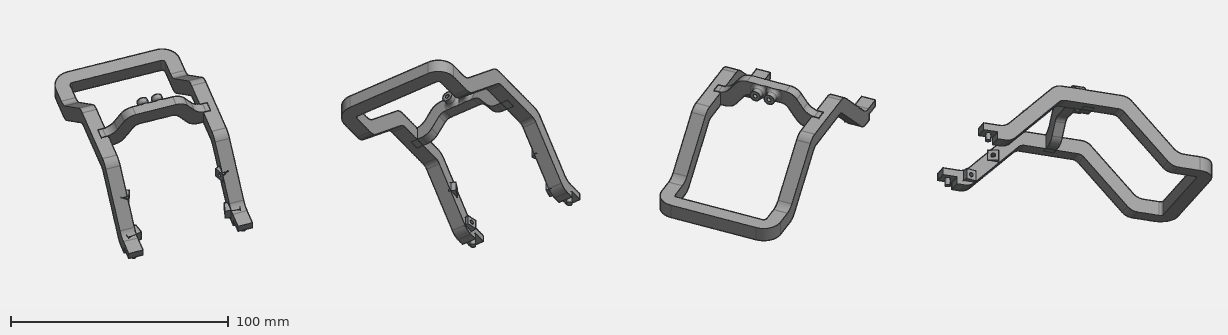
import cadquery as cq
import math

bar = 7.0
outer_round = 7.0
inner_round = 4.0

frame_length = 114.6
frame_width = 60.0
plan_outer_round = 8.5
plan_inner_round = plan_outer_round - bar
arch_center_x = 61.6
arch_height = 31.8
arch_half_top = 17.7
tip_length = 6.9
tip_thickness = bar / 2
arm_center_y = frame_width / 2 - bar / 2
arch_rise = arch_height - bar
arch_half_foot = arch_half_top + arch_rise
arch_miter = bar * math.tan(math.radians(45) / 2)

bridge_thickness = 5.0
bridge_top = 42.0
bridge_drop = 10.0
bridge_half_top = 13.3
bridge_half_foot = 20.7
bridge_front_x = arch_center_x - bridge_thickness / 2
bridge_angle = math.atan2(bridge_drop, bridge_half_foot - bridge_half_top)
bridge_miter = bar * math.tan(bridge_angle / 2)

nozzle_diameter = 5.0
nozzle_length = 4.7
nozzle_spacing = bar
nozzle_flare = 2.0
bore_diameter = 2.0
nozzle_z = bridge_top - bar / 2

pad_width = 5.0
pad_height = 5.0
pad_bore_diameter = 2.0
upper_pad = (90.5, 21.9, 19.4, 3.3, 24.0)
lower_pad = (101.6, 20.9, 7.2, 7.0, -13.0)

pin_diameter = 2.5
pin_x = 111.1
pin_length = bar - tip_thickness


def rounded_outline(plane, corners):
    """Closed wire through corners (u, v, radius), each corner rounded by a tangent arc."""
    path = cq.Workplane(plane)
    for index, (u, v, radius) in enumerate(corners):
        here = cq.Vector(u, v)
        to_last = (cq.Vector(*corners[index - 1][:2]) - here).normalized()
        to_next = (cq.Vector(*corners[(index + 1) % len(corners)][:2]) - here).normalized()
        half_angle = to_last.getAngle(to_next) / 2
        setback = radius / math.tan(half_angle)
        start = here + to_last * setback
        middle = here + (to_last + to_next).normalized() * (radius / math.sin(half_angle) - radius)
        end = here + to_next * setback
        path = path.moveTo(start.x, start.y) if index == 0 else path.lineTo(start.x, start.y)
        if radius > 0:
            path = path.threePointArc((middle.x, middle.y), (end.x, end.y))
    return path.close()


def make_frame_bar():
    top_low = arch_center_x - arch_half_foot
    top_high = arch_center_x - arch_half_top
    far_low = arch_center_x + arch_half_foot
    far_high = arch_center_x + arch_half_top
    step_x = frame_length - tip_length
    side = rounded_outline("XZ", [
        (0, 0, 0),
        (0, bar, 0),
        (top_low, bar, outer_round),
        (top_high, arch_height, outer_round),
        (far_high, arch_height, outer_round),
        (far_low, bar, outer_round),
        (frame_length, bar, 0),
        (frame_length, bar - tip_thickness, 0),
        (step_x, bar - tip_thickness, 0),
        (step_x, 0, 0),
        (far_low - arch_miter, 0, outer_round),
        (far_high - arch_miter, arch_rise, inner_round),
        (top_high + arch_miter, arch_rise, inner_round),
        (top_low + arch_miter, 0, outer_round),
    ]).extrude(frame_width / 2, both=True)

    outer_y = frame_width / 2
    inner_y = outer_y - bar
    plan = rounded_outline("XY", [
        (0, -outer_y, plan_outer_round),
        (0, outer_y, plan_outer_round),
        (frame_length, outer_y, 0),
        (frame_length, inner_y, 0),
        (bar, inner_y, plan_inner_round),
        (bar, -inner_y, plan_inner_round),
        (frame_length, -inner_y, 0),
        (frame_length, -outer_y, 0),
    ]).extrude(arch_height)
    return side.intersect(plan)


def make_bridge_bar():
    foot_top = bridge_top - bridge_drop
    half = [
        (-arm_center_y, foot_top - bar, 0),
        (-arm_center_y, foot_top, 0),
        (-bridge_half_foot, foot_top, outer_round),
        (-bridge_half_top, bridge_top, outer_round),
    ]
    half_under = [
        (bridge_half_top - bridge_miter, bridge_top - bar, inner_round),
        (bridge_half_foot - bridge_miter, foot_top - bar, outer_round),
    ]
    mirrored_top = [(-y, z, radius) for y, z, radius in reversed(half)]
    mirrored_under = [(-y, z, radius) for y, z, radius in half_under]
    outline = half + mirrored_top + half_under[::-1] + mirrored_under
    return rounded_outline("YZ", outline).extrude(bridge_thickness).translate((bridge_front_x, 0, 0))


def make_nozzle(y):
    """Round nozzle flaring into the bridge, with the flare trimmed flush with the bar above and below."""
    radius = nozzle_diameter / 2
    root_radius = radius + nozzle_flare
    arc_middle = nozzle_flare * (1 - math.sqrt(0.5))
    tip_x = bridge_front_x - nozzle_length
    turned = (
        cq.Workplane("XY")
        .moveTo(tip_x, 0)
        .lineTo(tip_x, radius)
        .lineTo(bridge_front_x - nozzle_flare, radius)
        .threePointArc(
            (bridge_front_x - arc_middle, radius + arc_middle),
            (bridge_front_x, root_radius),
        )
        .lineTo(bridge_front_x, 0)
        .close()
        .revolve(360, (0, 0, 0), (1, 0, 0))
    )
    trim = cq.Workplane("XY").box(frame_length * 2, frame_width, bar)
    return turned.intersect(trim).translate((0, y, nozzle_z))


def make_bridge():
    bridge = make_bridge_bar()
    nozzle_ys = (-nozzle_spacing / 2, nozzle_spacing / 2)
    for y in nozzle_ys:
        bridge = bridge.union(make_nozzle(y))
    bores = (
        cq.Workplane("YZ", origin=(bridge_front_x - nozzle_length, 0, nozzle_z))
        .pushPoints([(y, 0) for y in nozzle_ys])
        .circle(bore_diameter / 2)
        .extrude(nozzle_length)
    )
    return bridge.cut(bores)


def make_pad_blank(pad, side):
    """Plain block for the +Y arm (side 1) or its mirror image for the -Y arm (side -1)."""
    x, y, top_z, depth, turn = pad
    return (
        cq.Workplane("XY")
        .box(pad_width, depth, pad_height)
        .translate((0, side * depth / 2, top_z - pad_height / 2))
        .rotate((0, 0, 0), (0, 0, 1), side * turn)
        .translate((x, side * y, 0))
    )


def make_pad(pad, side):
    """Pad block with a bore through it, square to the exposed face."""
    x, y, top_z, depth, turn = pad
    bore = (
        cq.Workplane("XZ", origin=(0, 0, top_z - pad_height / 2))
        .circle(pad_bore_diameter / 2)
        .extrude(depth, both=True)
        .rotate((0, 0, 0), (0, 0, 1), side * turn)
        .translate((x, side * y, 0))
    )
    return make_pad_blank(pad, side).cut(bore)


def make_pin(side):
    return (
        cq.Workplane("XY")
        .center(pin_x, side * arm_center_y)
        .circle(pin_diameter / 2)
        .extrude(pin_length)
    )


def make_frame():
    """Frame bar with recesses for the bridge ends and the pads."""
    frame = make_frame_bar().cut(make_bridge_bar())
    for side in (1, -1):
        for pad in (upper_pad, lower_pad):
            frame = frame.cut(make_pad_blank(pad, side))
    return frame


frame = make_frame()
bridge = make_bridge()
pads = [make_pad(pad, side) for side in (1, -1) for pad in (upper_pad, lower_pad)]
pins = [make_pin(side) for side in (1, -1)]

result = cq.Compound.makeCompound([
    frame.val(),
    bridge.val(),
    *[pad.val() for pad in pads],
    *[pin.val() for pin in pins],
])